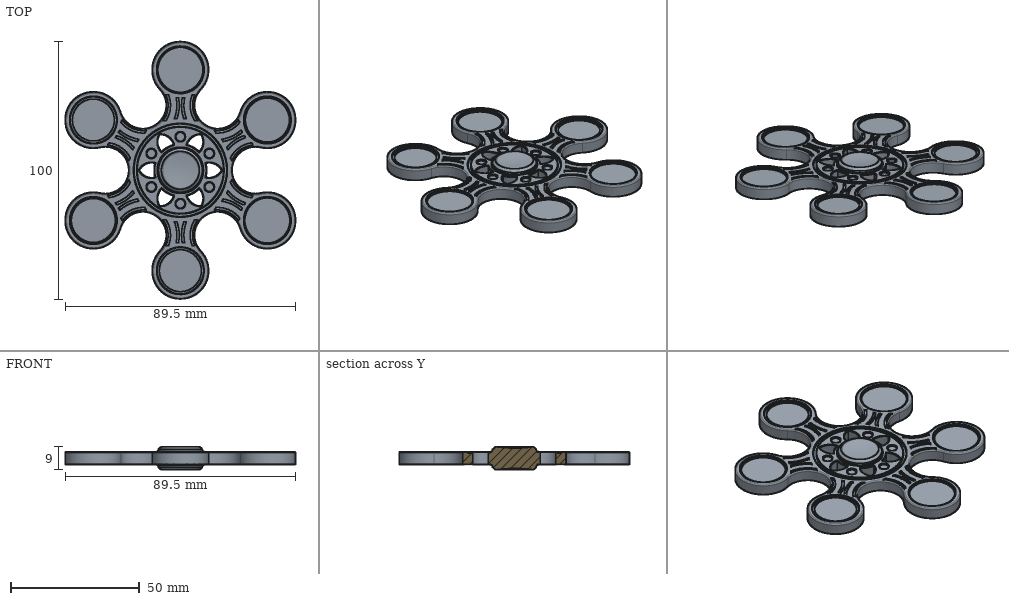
import cadquery as cq
import math

LOBE_COUNT = 6
LOBE_PITCH_RADIUS = 39.0
LOBE_RADIUS = 11.0
FLANK_RADIUS = 9.05
BODY_THICKNESS = 5.0
BODY_EDGE_ROUND = 0.5

LOBE_POCKET_DIAMETER = 18.0
LOBE_POCKET_DEPTH = 0.5

LOBE_RECESS_DIAMETERS = (17.49, 16.28, 17.07, 16.28, 17.49, 17.07)
LOBE_RECESS_DEPTH = 0.2

MOUTH_CHAMFER = 0.25

HUB_HEIGHT = 9.0
HUB_BASE_DIAMETER = 18.0
HUB_BASE_HEIGHT = 0.28
HUB_CAP_DIAMETER = 17.49
HUB_SHOULDER_DIAMETER = 17.07
HUB_SHOULDER_DROP = 1.05
HUB_SHOULDER_BULGE = 0.1
HUB_FACE_DIAMETER = 14.75
HUB_DISH_DIAMETER = 13.9
HUB_DISH_DEPTH = 0.5

GROOVE_INNER_DIAMETER = 34.0
GROOVE_OUTER_DIAMETER = 36.0
GROOVE_DEPTH = 0.5

PIN_HOLE_DIAMETER = 3.5
PIN_HOLE_PITCH_RADIUS = 13.0
PIN_HOLE_DEPTH = 0.5

PETAL_INNER_RADIUS = 10.25
PETAL_TIP_RADIUS = 16.0
PETAL_WIDEST_RADIUS = 11.17
PETAL_HALF_WIDTH = 2.87

SLOT_DEPTH = 0.5
SLOT_WIDTH = 0.95
FLANK_SLOT_HALF_GAP = 3.8
FLANK_SLOT_RADIUS = 10.9
FLANK_SLOT_INNER_END = 19.2
FLANK_SLOT_OUTER_END = 29.3
MIDDLE_SLOT_HALF_GAP = 0.42
MIDDLE_SLOT_RADIUS = 15.5
MIDDLE_SLOT_INNER_END = 20.0
MIDDLE_SLOT_OUTER_END = 28.2

LOBE_STEP = 360 / LOBE_COUNT
HALF_STEP = math.radians(LOBE_STEP / 2)
TOP = BODY_THICKNESS / 2

LOBE_TO_FLANK = LOBE_RADIUS + FLANK_RADIUS
FLANK_CENTRE_RADIUS = LOBE_PITCH_RADIUS * math.cos(HALF_STEP) - math.sqrt(
    LOBE_TO_FLANK**2 - (LOBE_PITCH_RADIUS * math.sin(HALF_STEP)) ** 2
)
WAIST_Y = FLANK_CENTRE_RADIUS * math.cos(HALF_STEP)


def polar(radius, angle):
    return (radius * math.cos(angle), radius * math.sin(angle))


def around(shape):
    """Copies of a shape turned about Z, one for each lobe."""
    copies = cq.Workplane("XY")
    for index in range(LOBE_COUNT):
        copies = copies.add(shape.rotate((0, 0, 0), (0, 0, 1), index * LOBE_STEP))
    return copies.combine()


def tangent_point(lobe_angle, flank_angle):
    lobe = polar(LOBE_PITCH_RADIUS, lobe_angle)
    flank = polar(FLANK_CENTRE_RADIUS, flank_angle)
    share = LOBE_RADIUS / LOBE_TO_FLANK
    return tuple(a + share * (b - a) for a, b in zip(lobe, flank))


def make_body():
    first_lobe = math.pi / 2
    outline = cq.Workplane("XY", origin=(0, 0, -TOP))
    outline = outline.moveTo(*tangent_point(first_lobe, first_lobe - HALF_STEP))
    for index in range(LOBE_COUNT):
        lobe = first_lobe + 2 * index * HALF_STEP
        flank = lobe + HALF_STEP
        outline = outline.threePointArc(
            polar(LOBE_PITCH_RADIUS + LOBE_RADIUS, lobe), tangent_point(lobe, flank)
        )
        outline = outline.threePointArc(
            polar(FLANK_CENTRE_RADIUS - FLANK_RADIUS, flank),
            tangent_point(flank + HALF_STEP, flank),
        )
    body = outline.close().extrude(BODY_THICKNESS)
    return body.faces("|Z").edges().fillet(BODY_EDGE_ROUND)


def make_flared_disc(radius, depth, x, y):
    """A disc hanging down from the top of the body, widening at its upper edge to cut a chamfer."""
    disc = cq.Workplane("XY", origin=(x, y, TOP - depth)).circle(radius).extrude(depth)
    flare_base = cq.Vector(x, y, TOP - MOUTH_CHAMFER)
    flare = cq.Solid.makeCone(radius, radius + MOUTH_CHAMFER, MOUTH_CHAMFER, flare_base)
    return disc.union(cq.Workplane(flare))


def make_groove():
    inner = GROOVE_INNER_DIAMETER / 2
    outer = GROOVE_OUTER_DIAMETER / 2
    floor = TOP - GROOVE_DEPTH
    chamfer_start = TOP - MOUTH_CHAMFER
    return (
        cq.Workplane("XZ")
        .polyline(
            [
                (inner, floor),
                (outer, floor),
                (outer, chamfer_start),
                (outer + MOUTH_CHAMFER, TOP),
                (inner - MOUTH_CHAMFER, TOP),
                (inner, chamfer_start),
            ]
        )
        .close()
        .revolve(360, (0, 0, 0), (0, 1, 0))
    )


def make_petal():
    length = PETAL_TIP_RADIUS - PETAL_WIDEST_RADIUS
    side_radius = (length**2 + PETAL_HALF_WIDTH**2) / (2 * PETAL_HALF_WIDTH)
    side_offset = side_radius - PETAL_HALF_WIDTH
    left = make_flared_disc(side_radius, BODY_THICKNESS, PETAL_WIDEST_RADIUS, side_offset)
    right = make_flared_disc(side_radius, BODY_THICKNESS, PETAL_WIDEST_RADIUS, -side_offset)
    core = cq.Workplane("XY", origin=(0, 0, -TOP)).circle(PETAL_INNER_RADIUS).extrude(BODY_THICKNESS)
    core = core.faces(">Z").edges().chamfer(MOUTH_CHAMFER)
    return left.intersect(right).cut(core)


def make_lobe_recesses():
    floor = TOP - LOBE_POCKET_DEPTH - LOBE_RECESS_DEPTH
    recesses = cq.Workplane("XY")
    for index, diameter in enumerate(LOBE_RECESS_DIAMETERS):
        recess = (
            cq.Workplane("XY", origin=(0, LOBE_PITCH_RADIUS, floor))
            .circle(diameter / 2)
            .extrude(LOBE_RECESS_DEPTH)
        )
        recesses = recesses.add(recess.rotate((0, 0, 0), (0, 0, 1), index * LOBE_STEP))
    return recesses.combine()


def make_slot_pair(half_gap, radius, inner_end, outer_end):
    """Two mirrored slots that bow toward the neck's centre line at its waist."""
    plane = cq.Workplane("XY", origin=(0, 0, TOP - SLOT_DEPTH))
    ring = (
        plane.center(half_gap + radius, WAIST_Y)
        .circle(radius)
        .circle(radius - SLOT_WIDTH)
        .extrude(SLOT_DEPTH)
    )
    window = (
        plane.center(radius / 2, (inner_end + outer_end) / 2)
        .rect(radius, outer_end - inner_end)
        .extrude(SLOT_DEPTH)
    )
    slot = ring.intersect(window)
    return slot.union(slot.mirror("YZ"))


def make_hub():
    half_height = HUB_HEIGHT / 2
    base_radius = HUB_BASE_DIAMETER / 2
    base_top = TOP + HUB_BASE_HEIGHT
    shoulder = (HUB_SHOULDER_DIAMETER / 2, half_height - HUB_SHOULDER_DROP)
    face_edge = (HUB_FACE_DIAMETER / 2, half_height)
    dish_radius = HUB_DISH_DIAMETER / 2
    upper_half = (
        cq.Workplane("XZ")
        .lineTo(base_radius, 0)
        .lineTo(base_radius, base_top)
        .lineTo(HUB_CAP_DIAMETER / 2, base_top)
        .lineTo(*shoulder)
        .sagittaArc(face_edge, -HUB_SHOULDER_BULGE)
        .lineTo(0, half_height)
        .close()
        .revolve(360, (0, 0, 0), (0, 1, 0))
    )
    sphere_radius = (dish_radius**2 + HUB_DISH_DEPTH**2) / (2 * HUB_DISH_DEPTH)
    sphere_centre_z = half_height - HUB_DISH_DEPTH + sphere_radius
    dish = cq.Workplane("XY", origin=(0, 0, sphere_centre_z)).sphere(sphere_radius)
    upper_half = upper_half.cut(dish)
    return upper_half.union(upper_half.mirror("XY"))


lobe_pocket = make_flared_disc(LOBE_POCKET_DIAMETER / 2, LOBE_POCKET_DEPTH, 0, LOBE_PITCH_RADIUS)
pin_hole = make_flared_disc(PIN_HOLE_DIAMETER / 2, PIN_HOLE_DEPTH, 0, PIN_HOLE_PITCH_RADIUS)
flank_slots = make_slot_pair(
    FLANK_SLOT_HALF_GAP, FLANK_SLOT_RADIUS, FLANK_SLOT_INNER_END, FLANK_SLOT_OUTER_END
)
middle_slots = make_slot_pair(
    MIDDLE_SLOT_HALF_GAP, MIDDLE_SLOT_RADIUS, MIDDLE_SLOT_INNER_END, MIDDLE_SLOT_OUTER_END
)

result = make_body().cut(make_groove())
for feature in (lobe_pocket, pin_hole, make_petal(), flank_slots, middle_slots):
    result = result.cut(around(feature))
result = result.cut(make_lobe_recesses()).union(make_hub())